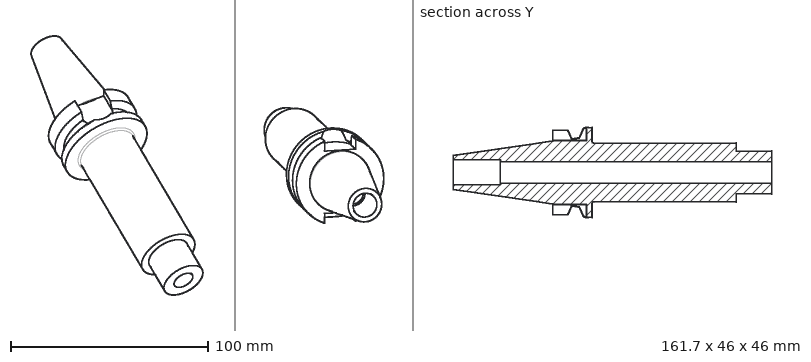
import cadquery as cq

total_length = 161.7
taper_length = 48.3
taper_runout_length = 1.0
collar_length = 1.1
flange_length = 20.0
nose_length = 18.0

flange_diameter = 46.0
gauge_diameter = 31.7
body_diameter = 30.0
nose_diameter = 22.0
taper_ratio = 7 / 24
small_end_diameter = gauge_diameter - taper_length * taper_ratio
collar_diameter = gauge_diameter + taper_runout_length * taper_ratio

groove_diameter = 37.8
groove_offset = 7.8
groove_entry_side_length = 2.0
groove_floor_length = 3.9
groove_exit_side_length = 2.1

body_fillet = 1.0

slot_width = 16.2
slot_length = 17.1
slot_floor_height = 16.3

through_bore_diameter = 10.5
entry_bore_diameter = 12.5
entry_bore_depth = 24.0

collar_start = taper_length + taper_runout_length
flange_start = collar_start + collar_length
flange_end = flange_start + flange_length
nose_start = total_length - nose_length


def revolved_body():
    """Revolve taper, flange, body and nose around the X axis."""
    flange_radius = flange_diameter / 2
    groove_radius = groove_diameter / 2
    body_radius = body_diameter / 2
    groove_start = flange_start + groove_offset
    floor_start = groove_start + groove_entry_side_length
    floor_end = floor_start + groove_floor_length
    groove_end = floor_end + groove_exit_side_length
    profile = (
        cq.Workplane("XY")
        .moveTo(0, 0)
        .lineTo(0, small_end_diameter / 2)
        .lineTo(taper_length, gauge_diameter / 2)
        .lineTo(collar_start, collar_diameter / 2)
        .lineTo(flange_start, collar_diameter / 2)
        .lineTo(flange_start, flange_radius)
        .lineTo(groove_start, flange_radius)
        .lineTo(floor_start, groove_radius)
        .lineTo(floor_end, groove_radius)
        .lineTo(groove_end, flange_radius)
        .lineTo(flange_end, flange_radius)
        .lineTo(flange_end, body_radius + body_fillet)
        .radiusArc((flange_end + body_fillet, body_radius), -body_fillet)
        .lineTo(nose_start, body_radius)
        .lineTo(nose_start, nose_diameter / 2)
        .lineTo(total_length, nose_diameter / 2)
        .lineTo(total_length, 0)
        .close()
    )
    return profile.revolve(360, (0, 0, 0), (1, 0, 0))


def drive_slot():
    """Round-ended slot cutter for the +Z side, open toward the taper."""
    slot_radius = slot_width / 2
    slot_end = flange_start + slot_length
    arc_center = slot_end - slot_radius
    return (
        cq.Workplane("XY", origin=(0, 0, slot_floor_height))
        .moveTo(flange_start, -slot_radius)
        .lineTo(arc_center, -slot_radius)
        .threePointArc((slot_end, 0), (arc_center, slot_radius))
        .lineTo(flange_start, slot_radius)
        .close()
        .extrude(flange_diameter / 2)
    )


def bore(diameter, depth):
    """Cylinder along the axis, starting at the small end."""
    return cq.Workplane("YZ").circle(diameter / 2).extrude(depth)


upper_slot = drive_slot()
lower_slot = upper_slot.mirror("XY")

result = (
    revolved_body()
    .cut(upper_slot)
    .cut(lower_slot)
    .cut(bore(through_bore_diameter, total_length))
    .cut(bore(entry_bore_diameter, entry_bore_depth))
)